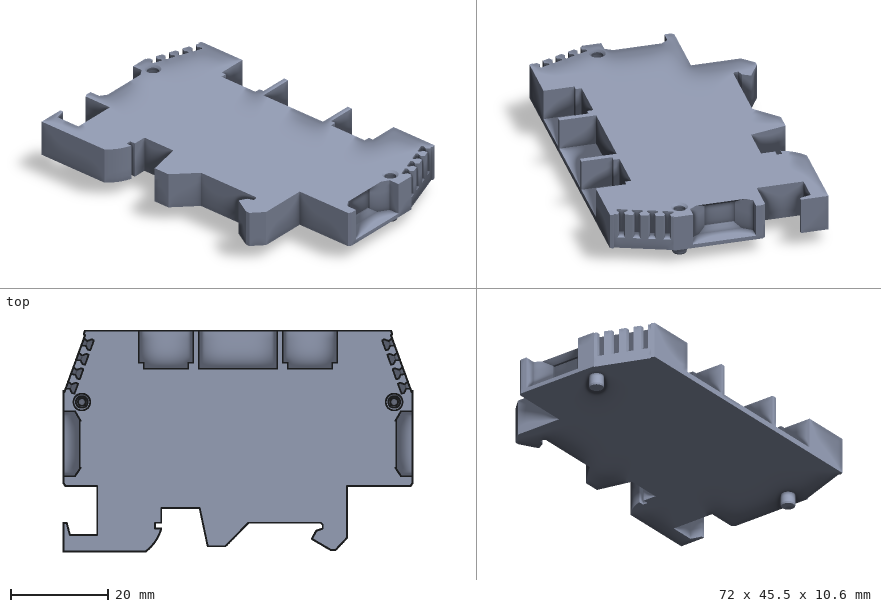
import cadquery as cq
import math

length = 72.0
height = 45.5
thickness = 8.0
pin_length = 2.6
half = length / 2

shoulder_y = 33.1
body_bottom_y = 13.5
corner_width, corner_rise = 0.4, 0.65

slant_angle = 20.0
slant_foot_x, slant_foot_y = half - 0.2, 32.9
slant_top_y = 44.6
lip_y = 44.8
lip_overhang = 0.35
slant_run = math.tan(math.radians(slant_angle))

rail_y = 5.9
hook_tip_x, hook_root_x, hook_floor_y = -35.3, -34.6, 3.45
left_leg_x = -29.0
right_leg_x = 22.5
toe_x = -19.0
toe_bevel_width, toe_bevel_rise = 0.5, 0.4
toe_arc_middle = (-16.5, 2.95)
gap_left_x, gap_right_x, gap_top_y = -15.8, -7.9, 8.9
nick_depth, nick_bottom_y = 1.3, 4.75
prong_left_x, prong_right_x, prong_y = -6.3, -2.6, 1.1
seat_left_x, seat_right_x = 2.15, 17.4
seat_corner = 0.35
claw_shoulder = (16.1, 4.3)
claw_nose = (15.2, 2.6)
claw_bottom_left_x, claw_bottom_right_x, claw_bottom_y = 19.15, 20.1, 0.3
claw_heel_y = 2.8

recess_floor_z = 1.2
recess_bottom_y = 37.65
middle_recess_width = 16.1
side_recess_x, side_recess_width = 14.8, 11.3
step_width, step_height = 1.1, 1.3

pocket_depth, pocket_floor_z = 2.4, 0.9
pocket_bottom_y, pocket_top_y = 15.5, 28.95
taper_depth = 2.2
well_bottom_y, well_top_y = 18.8, 25.3
well_bottom_z, well_top_z = 1.95, 6.9
well_depth = 0.6
taper_mouth_bottom_z, taper_mouth_top_z = -0.9, 8.85

groove_count, groove_pitch = 4, 3.2
first_groove_y = 34.3
groove_floor_z, groove_mouth_z = 2.7, 2.45
neck_depth, barb_depth, groove_depth = 0.9, 1.6, 2.1
mouth_half, neck_half, barb_half, back_half = 0.8, 0.5, 1.15, 1.1

pin_x, pin_y = half - 3.8, 30.8
pin_root_radius, pin_collar_radius, pin_tip_radius = 1.5, 1.6, 1.45
pin_chamfer = 0.35
socket_mouth_radius, socket_radius, socket_tip_radius = 1.7, 1.2, 0.8
countersink_depth, socket_wall_depth, socket_depth = 0.4, 1.0, 2.6

overrun = 0.7


def slant_x(y):
    """X of the right-hand slanted face at level y."""
    return slant_foot_x - (y - slant_foot_y) * slant_run


def on_both_ends(shape):
    """A right-hand feature together with its mirror image."""
    return shape.union(shape.mirror("YZ"))


def box(x0, x1, y0, y1, z0, z1):
    return cq.Workplane("XY").box(x1 - x0, y1 - y0, z1 - z0, centered=False).translate((x0, y0, z0))


def end_points():
    """Right end of the outline, from the overhang corner up to the top edge."""
    return [
        (half - corner_width, body_bottom_y),
        (half, body_bottom_y + corner_rise),
        (half, shoulder_y),
        (slant_foot_x, slant_foot_y),
        (slant_x(slant_top_y), slant_top_y),
        (slant_x(lip_y) + lip_overhang, lip_y),
        (slant_x(height) + lip_overhang, height),
    ]


def housing():
    right_end = end_points()
    left_end = [(-x, y) for x, y in reversed(right_end)]
    outline = cq.Workplane("XY").moveTo(-half, 0).lineTo(toe_x, 0)
    outline = outline.line(toe_bevel_width, toe_bevel_rise)
    outline = outline.threePointArc(toe_arc_middle, (gap_left_x, nick_bottom_y))
    feet = [
        (gap_left_x - nick_depth, nick_bottom_y),
        (gap_left_x - nick_depth, rail_y),
        (gap_left_x, rail_y),
        (gap_left_x, gap_top_y),
        (gap_right_x, gap_top_y),
        (prong_left_x, prong_y),
        (prong_right_x, prong_y),
        (seat_left_x, rail_y),
        (seat_right_x - seat_corner, rail_y),
        (seat_right_x, rail_y - seat_corner),
        (seat_right_x, nick_bottom_y),
        claw_shoulder,
        claw_nose,
        (claw_bottom_left_x, claw_bottom_y),
        (claw_bottom_right_x, claw_bottom_y),
        (right_leg_x, claw_heel_y),
        (right_leg_x, body_bottom_y),
    ]
    hook = [
        (left_leg_x, body_bottom_y),
        (left_leg_x, hook_floor_y),
        (hook_root_x, hook_floor_y),
        (hook_tip_x, rail_y),
        (-half, rail_y),
    ]
    for point in feet + right_end + left_end + hook:
        outline = outline.lineTo(*point)
    return outline.close().extrude(thickness)


def top_recesses():
    top_y, top_z = height + overrun, thickness + overrun
    middle_half = middle_recess_width / 2
    middle = box(-middle_half, middle_half, recess_bottom_y, top_y, recess_floor_z, top_z)
    left_x = side_recess_x - side_recess_width / 2
    right_x = side_recess_x + side_recess_width / 2
    wide = box(left_x, right_x, recess_bottom_y + step_height, top_y, recess_floor_z, top_z)
    narrow = box(left_x + step_width, right_x - step_width, recess_bottom_y, top_y, recess_floor_z, top_z)
    return middle.union(on_both_ends(wide.union(narrow)))


def finger_pockets():
    """A shallow pocket, then a tapered funnel, then a short straight well."""
    mouth_x = half - pocket_depth
    well_x = mouth_x - taper_depth
    top_z = thickness + overrun
    shallow = box(mouth_x, half + overrun, pocket_bottom_y, pocket_top_y, pocket_floor_z, top_z)
    well = box(well_x - well_depth, well_x, well_bottom_y, well_top_y, well_bottom_z, well_top_z)
    mouth_y = (pocket_bottom_y + pocket_top_y) / 2
    mouth_z = (taper_mouth_bottom_z + taper_mouth_top_z) / 2
    well_y = (well_bottom_y + well_top_y) / 2
    well_z = (well_bottom_z + well_top_z) / 2
    funnel = (
        cq.Workplane("YZ", origin=(well_x, 0, 0))
        .center(well_y, well_z)
        .rect(well_top_y - well_bottom_y, well_top_z - well_bottom_z)
        .workplane(offset=taper_depth)
        .center(mouth_y - well_y, mouth_z - well_z)
        .rect(pocket_top_y - pocket_bottom_y, taper_mouth_top_z - taper_mouth_bottom_z)
        .loft(ruled=True)
    )
    above_floor = box(well_x, mouth_x, pocket_bottom_y, pocket_top_y, pocket_floor_z, top_z)
    return on_both_ends(shallow.union(funnel.intersect(above_floor)).union(well))


def grip_groove():
    """One groove at the origin: it opens toward +X and runs into -X."""
    depth_z = thickness + overrun
    barb = (
        cq.Workplane("XY", origin=(0, 0, groove_floor_z))
        .polyline([
            (-neck_depth, neck_half),
            (-barb_depth, barb_half),
            (-groove_depth, back_half),
            (-groove_depth, -back_half),
            (-barb_depth, -barb_half),
            (-neck_depth, -neck_half),
        ])
        .close()
        .extrude(depth_z - groove_floor_z)
    )
    neck = (
        cq.Workplane("XY")
        .polyline([
            (overrun, mouth_half),
            (0, mouth_half),
            (-neck_depth, neck_half),
            (-neck_depth, -neck_half),
            (0, -mouth_half),
            (overrun, -mouth_half),
        ])
        .close()
        .extrude(depth_z)
    )
    above_ramp = (
        cq.Workplane("XZ")
        .polyline([
            (-neck_depth, groove_floor_z),
            (0, groove_mouth_z),
            (overrun, groove_mouth_z),
            (overrun, depth_z),
            (-neck_depth, depth_z),
        ])
        .close()
        .extrude(mouth_half, both=True)
    )
    return barb.union(neck.intersect(above_ramp))


def grip_grooves():
    step_y = groove_pitch * math.cos(math.radians(slant_angle))
    groove = grip_groove().rotate((0, 0, 0), (0, 0, 1), slant_angle)
    grooves = cq.Workplane("XY")
    for index in range(groove_count):
        y = first_groove_y + index * step_y
        grooves = grooves.add(groove.translate((slant_x(y), y, 0)))
    return on_both_ends(grooves.combine())


def revolved(profile):
    """A turned shape on the pin axis, from (radius, z) points."""
    turned = cq.Workplane("XZ").polyline(profile).close().revolve(360, (0, 0, 0), (0, 1, 0))
    return on_both_ends(turned.translate((pin_x, pin_y, 0)))


def pins():
    return revolved([
        (0, 0),
        (pin_root_radius, 0),
        (pin_collar_radius, pin_chamfer - pin_length),
        (pin_tip_radius, -pin_length),
        (0, -pin_length),
    ])


def sockets():
    return revolved([
        (0, thickness),
        (socket_mouth_radius, thickness),
        (socket_radius, thickness - countersink_depth),
        (socket_radius, thickness - socket_wall_depth),
        (socket_tip_radius, thickness - socket_depth),
        (0, thickness - socket_depth),
    ])


result = (
    housing()
    .cut(top_recesses())
    .cut(finger_pockets())
    .cut(grip_grooves())
    .cut(sockets())
    .union(pins())
)